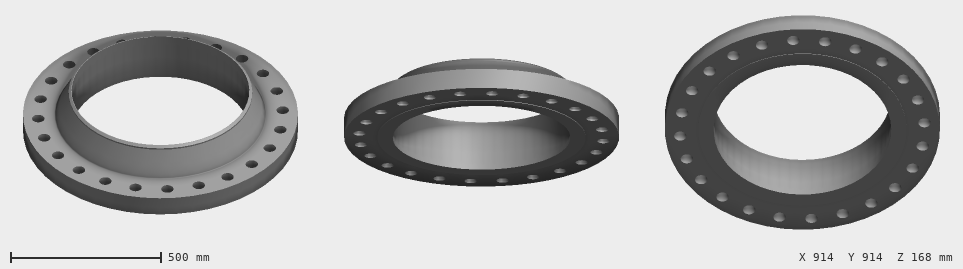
import cadquery as cq
import math

flange_radius = 457.0
flange_top = 69.5
overall_height = 168.0

raised_face_height = 2.0
raised_face_radius = 346.5

bore_radius = 295.0
neck_end_radius = 305.0
hub_base_radius = 350.0
hub_fillet_radius = 5.0

root_land = 2.0
bevel_angle = 37.5
collar_height = 5.5

bolt_count = 24
bolt_circle_radius = 407.0
bolt_hole_diameter = 41.0

root_radius = bore_radius + root_land
bevel_height = (neck_end_radius - root_radius) * math.tan(math.radians(bevel_angle))
bevel_bottom = overall_height - bevel_height
collar_bottom = bevel_bottom - collar_height


def make_flange_body():
    """Revolve the half section of the plate, hub and bore about the Z axis."""
    section = [
        (bore_radius, 0),
        (raised_face_radius, 0),
        (raised_face_radius, raised_face_height),
        (flange_radius, raised_face_height),
        (flange_radius, flange_top),
        (hub_base_radius, flange_top),
        (neck_end_radius, collar_bottom),
        (neck_end_radius, bevel_bottom),
        (root_radius, overall_height),
        (bore_radius, overall_height),
    ]
    return cq.Workplane("XZ").polyline(section).close().revolve(360, (0, 0, 0), (0, 1, 0))


def round_hub_base(body):
    """Fillet the circle where the tapered hub meets the top of the plate."""
    reach = hub_base_radius + hub_fillet_radius
    corner = cq.selectors.BoxSelector(
        (-reach, -reach, flange_top - hub_fillet_radius),
        (reach, reach, flange_top + hub_fillet_radius),
        boundingbox=True,
    )
    return body.edges(corner).fillet(hub_fillet_radius)


def make_bolt_holes():
    """Through holes evenly spaced on the bolt circle, the first one on +X."""
    return (
        cq.Workplane("XY")
        .polarArray(bolt_circle_radius, 0, 360, bolt_count)
        .circle(bolt_hole_diameter / 2)
        .extrude(flange_top)
    )


result = round_hub_base(make_flange_body()).cut(make_bolt_holes())